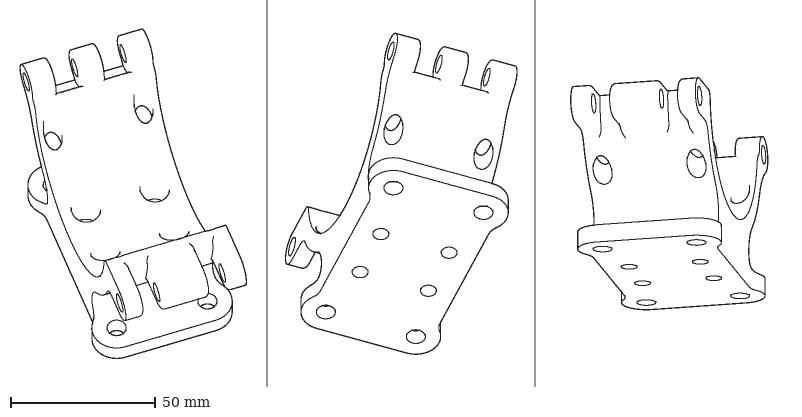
import cadquery as cq
import math

overall_length = 107.9
body_width = 44.5

cradle_height = 54.3
cradle_radius = 35.2
arm_thickness = 6.6

lug_radius = 6.4
left_pin_x = -44.4
right_pin_z = 47.3
left_pin_hole_diameter = 6.4
right_pin_hole_diameter = 6.6

neck_upper_radius = 13.0
neck_lower_radius = 6.4
left_lug_under_blend = 20.0
right_lug_under_blend = 5.0
right_lip_radius = 2.7
left_lip_radius = 5.3
left_lip_start_height = 48.6
left_lug_inner_blend = 2.0

left_slot_width = 9.1
left_slot_pitch = 17.8
left_slot_radius = 7.0
left_slot_edge_radius = 0.6
left_slot_floor_edge_radius = 0.4

right_slot_width = 6.9
right_slot_pitch = 24.2
right_slot_edge_radius = 1.4
right_slot_floor_edge_radius = 2.8

foot_thickness = 6.3
foot_corner_radius = 8.6
foot_web_blend = 6.5
foot_hole_spacing_x = 65.1
foot_hole_spacing_y = 33.5
foot_hole_diameter = 6.6
access_hole_rim_radius = 1.3

screw_spacing_x = 20.0
screw_spacing_y = 25.4
screw_hole_diameter = 5.5
counterbore_diameter = 10.1
counterbore_rim_radius = 1.1
counterbore_floor = foot_thickness

arm_radius = cradle_radius + arm_thickness
cradle_axis = (0.0, cradle_height)
left_pin = (left_pin_x, cradle_height)
right_pin = (left_pin_x + overall_length - 2 * lug_radius, right_pin_z)
lug_top = right_pin_z + lug_radius
lug_underside = right_pin_z - lug_radius
foot_hole_x = foot_hole_spacing_x / 2
foot_hole_y = foot_hole_spacing_y / 2
tolerance = 0.01


def toward(start, end, distance):
    """Point at a distance from start, in the direction of end."""
    span = math.dist(start, end)
    return tuple(s + (e - s) * distance / span for s, e in zip(start, end))


def arc_middle(center, radius, start, end):
    """Middle of the shorter arc from start to end."""
    chord_middle = tuple((s + e) / 2 for s, e in zip(start, end))
    return toward(center, chord_middle, radius)


def circle_crossing(center_a, radius_a, center_b, radius_b):
    """Crossing of two circles that lies to the right of the way from a to b."""
    span = math.dist(center_a, center_b)
    along = (radius_a**2 - radius_b**2 + span**2) / (2 * span)
    aside = math.sqrt(radius_a**2 - along**2)
    ux = (center_b[0] - center_a[0]) / span
    uz = (center_b[1] - center_a[1]) / span
    return (center_a[0] + along * ux + aside * uz, center_a[1] + along * uz - aside * ux)


def mirrored(point):
    return (-point[0], point[1])


neck_height = foot_thickness + neck_lower_radius
neck_drop = cradle_height - neck_height
neck_upper_x = math.sqrt((arm_radius + neck_upper_radius) ** 2 - neck_drop**2)
neck_upper_center = (neck_upper_x, neck_height)
neck_waist = (neck_upper_x - neck_upper_radius, neck_height)
neck_lower_center = (neck_waist[0] + neck_lower_radius, neck_height)
neck_foot = (neck_lower_center[0], foot_thickness)
neck_top = toward(neck_upper_center, cradle_axis, neck_upper_radius)
foot_end = foot_hole_x + foot_corner_radius

right_blend_z = lug_underside - right_lug_under_blend
right_blend_reach = arm_radius + right_lug_under_blend
right_blend_x = math.sqrt(right_blend_reach**2 - (cradle_height - right_blend_z) ** 2)
right_blend_center = (right_blend_x, right_blend_z)
right_blend_start = toward(right_blend_center, cradle_axis, right_lug_under_blend)
right_blend_end = (right_blend_x, lug_underside)
right_lug_tip = (right_pin[0] + lug_radius, right_pin_z)
right_lip_z = lug_top - right_lip_radius
right_lip_reach = cradle_radius + right_lip_radius
right_lip_x = math.sqrt(right_lip_reach**2 - (cradle_height - right_lip_z) ** 2)
right_lip_center = (right_lip_x, right_lip_z)
right_lip_start = (right_lip_x, lug_top)
right_lip_end = toward(right_lip_center, cradle_axis, right_lip_radius)

left_lip_drop = cradle_height - left_lip_start_height
left_lip_start = (-math.sqrt(cradle_radius**2 - left_lip_drop**2), left_lip_start_height)
left_lip_center = toward(cradle_axis, left_lip_start, cradle_radius + left_lip_radius)
inner_blend_center = circle_crossing(
    left_lip_center, left_lip_radius + left_lug_inner_blend, left_pin, lug_radius + left_lug_inner_blend
)
left_lip_end = toward(left_lip_center, inner_blend_center, left_lip_radius)
inner_blend_end = toward(left_pin, inner_blend_center, lug_radius)
under_blend_center = circle_crossing(
    left_pin, lug_radius + left_lug_under_blend, cradle_axis, arm_radius + left_lug_under_blend
)
under_blend_start = toward(left_pin, under_blend_center, lug_radius)
under_blend_end = toward(cradle_axis, under_blend_center, arm_radius)
left_lug_far_side = toward(left_pin, (left_pin[0] - 1.1, left_pin[1] + 1.1), lug_radius)


def draw_arc(sketch, center, radius, start, end):
    return sketch.threePointArc(arc_middle(center, radius, start, end), end)


def side_outline():
    o = cq.Workplane("XZ").moveTo(-foot_end, 0).lineTo(foot_end, 0)
    o = o.lineTo(foot_end, foot_thickness).lineTo(*neck_foot)
    o = draw_arc(o, neck_lower_center, neck_lower_radius, neck_foot, neck_waist)
    o = draw_arc(o, neck_upper_center, neck_upper_radius, neck_waist, neck_top)
    o = draw_arc(o, cradle_axis, arm_radius, neck_top, right_blend_start)
    o = draw_arc(o, right_blend_center, right_lug_under_blend, right_blend_start, right_blend_end)
    o = o.lineTo(right_pin[0], lug_underside)
    o = o.threePointArc(right_lug_tip, (right_pin[0], lug_top))
    o = o.lineTo(*right_lip_start)
    o = draw_arc(o, right_lip_center, right_lip_radius, right_lip_start, right_lip_end)
    o = o.threePointArc((0, cradle_height - cradle_radius), left_lip_start)
    o = draw_arc(o, left_lip_center, left_lip_radius, left_lip_start, left_lip_end)
    o = draw_arc(o, inner_blend_center, left_lug_inner_blend, left_lip_end, inner_blend_end)
    o = o.threePointArc(left_lug_far_side, under_blend_start)
    o = draw_arc(o, under_blend_center, left_lug_under_blend, under_blend_start, under_blend_end)
    o = draw_arc(o, cradle_axis, arm_radius, under_blend_end, mirrored(neck_top))
    o = draw_arc(o, mirrored(neck_upper_center), neck_upper_radius, mirrored(neck_top), mirrored(neck_waist))
    o = draw_arc(o, mirrored(neck_lower_center), neck_lower_radius, mirrored(neck_waist), mirrored(neck_foot))
    return o.lineTo(-foot_end, foot_thickness).close()


def bar(width):
    """Side outline drawn out along Y, centred on the XZ plane."""
    return side_outline().extrude(width / 2, both=True)


def foot_plan(height):
    """Rounded feet joined to the body by concave blends, seen from above."""
    half_body = body_width / 2
    blend_y = half_body + foot_web_blend
    reach = foot_corner_radius + foot_web_blend
    blend_x = foot_hole_x - math.sqrt(reach**2 - (blend_y - foot_hole_y) ** 2)
    corner = (foot_hole_x, foot_hole_y)
    blend = (blend_x, blend_y)
    web_end = (blend_x, half_body)
    web_start = toward(blend, corner, foot_web_blend)
    diagonal = (foot_hole_x + 1.1, foot_hole_y + 1.1)
    tip = (foot_hole_x, foot_hole_y + foot_corner_radius)
    plan = cq.Workplane("XY").moveTo(0, 0).lineTo(0, half_body).lineTo(*web_end)
    plan = plan.threePointArc(arc_middle(blend, foot_web_blend, web_end, web_start), web_start)
    plan = plan.threePointArc(arc_middle(corner, foot_corner_radius, web_start, tip), tip)
    plan = plan.threePointArc(toward(corner, diagonal, foot_corner_radius), (foot_end, foot_hole_y))
    plan = plan.lineTo(foot_end, 0).close()
    quarter = plan.extrude(height)
    half = quarter.union(quarter.mirror("XZ"))
    return half.union(half.mirror("YZ"))


def cylinder_y(center, radius, y_middle, length):
    plane = cq.Workplane("XZ", origin=(0, y_middle, 0))
    return plane.center(*center).circle(radius).extrude(length / 2, both=True)


def build_body():
    """Saddle with its arms and lugs, standing on the two feet."""
    feet = bar(body_width + 2 * foot_corner_radius).intersect(foot_plan(neck_height))
    below_neck = cq.Workplane("XY").box(
        overall_length, body_width, neck_height, centered=(True, True, False)
    )
    return bar(body_width).cut(below_neck).union(feet)


def edges_where(solid, test):
    return solid.newObject([edge for edge in solid.edges().vals() if test(edge)])


def runs_along_y(edge, length):
    """True for a straight edge of the given length, parallel to Y."""
    box = edge.BoundingBox()
    return abs(box.ylen - length) < tolerance and box.xlen + box.zlen < tolerance


def on_slot_side(edge, pitch, width):
    """True for an edge lying in a side face of one of a pair of slots."""
    box = edge.BoundingBox()
    offset = abs(abs(edge.Center().y) - pitch / 2)
    return box.ylen < tolerance and abs(offset - width / 2) < tolerance


def distance_to_axis(edge, axis):
    """Distance from the middle of an edge to an axis along Y."""
    middle = edge.positionAt(0.5)
    return math.dist((middle.x, middle.z), axis)


def cut_slots(solid, block, arm, pitch, width, edge_radius, is_outer_edge):
    """Two slots through a block, sparing the arm; the outer edges of the lugs left are rounded."""

    def is_lug_edge(edge):
        return on_slot_side(edge, pitch, width) and is_outer_edge(edge)

    slots = cq.Workplane("XY").pushPoints([(0, pitch / 2), (0, -pitch / 2)])
    slots = slots.rect(2 * overall_length, width).extrude(overall_length)
    lugs = edges_where(block.cut(slots), is_lug_edge).fillet(edge_radius)
    return solid.cut(block.cut(lugs).cut(arm))


def cut_left_slots(solid):
    """Slots with a round floor about the pin."""
    block_radius = left_slot_radius + 2 * left_slot_floor_edge_radius

    def is_outer_edge(edge):
        return distance_to_axis(edge, left_pin) < block_radius - tolerance

    def is_floor_edge(edge):
        return runs_along_y(edge, body_width) and (
            abs(distance_to_axis(edge, left_pin) - left_slot_radius) < tolerance
        )

    block = solid.intersect(cylinder_y(left_pin, block_radius, 0, body_width))
    arm = solid.cut(cylinder_y(left_pin, left_slot_radius, 0, body_width))
    arm = edges_where(arm, is_floor_edge).fillet(left_slot_floor_edge_radius)
    return cut_slots(
        solid, block, arm, left_slot_pitch, left_slot_width, left_slot_edge_radius, is_outer_edge
    )


def cut_right_slots(solid):
    """Slots that reach in to the round back of the arm, whose top edge is rounded."""
    inner_x = right_lip_x

    def is_outer_edge(edge):
        middle = edge.positionAt(0.5)
        return middle.x > right_blend_x and middle.z > lug_underside - tolerance

    outline = cq.Workplane("XZ").moveTo(inner_x, lug_top).lineTo(right_pin[0], lug_top)
    outline = outline.threePointArc(right_lug_tip, (right_pin[0], lug_underside))
    outline = outline.lineTo(*right_blend_end)
    outline = draw_arc(
        outline, right_blend_center, right_lug_under_blend, right_blend_end, right_blend_start
    )
    block = outline.lineTo(inner_x, right_blend_start[1]).close().extrude(body_width / 2, both=True)
    arm = cylinder_y(cradle_axis, arm_radius, 0, body_width).intersect(
        cq.Workplane("XY").box(overall_length, body_width, lug_top, centered=(True, True, False))
    )
    arm = arm.faces(">Z").edges("|Y").fillet(right_slot_floor_edge_radius)
    return cut_slots(
        solid, block, arm, right_slot_pitch, right_slot_width, right_slot_edge_radius, is_outer_edge
    )


def grid(spacing_x, spacing_y):
    """Four points around the origin."""
    return [(sx * spacing_x / 2, sy * spacing_y / 2) for sx in (-1, 1) for sy in (-1, 1)]


def drill(solid, points, diameter, floor):
    """Upright holes, open at the top, down to the floor height."""
    tools = cq.Workplane("XY").workplane(offset=floor).pushPoints(points)
    return solid.cut(tools.circle(diameter / 2).extrude(overall_length))


def round_rims(solid, points, diameter, radius):
    """Round the edges where upright holes break out of the inner side of the saddle and its lips."""
    middle_of_wall = cradle_radius + arm_thickness / 2

    def is_rim(edge):
        spots = edge.positions([0, 0.25, 0.5, 0.75, 1])
        inside = all(math.dist((p.x, p.z), cradle_axis) < middle_of_wall for p in spots)
        return inside and any(
            all(abs(math.dist((p.x, p.y), point) - diameter / 2) < tolerance for p in spots)
            for point in points
        )

    return edges_where(solid, is_rim).fillet(radius)


def drill_foot_holes(solid):
    """Foot holes that carry on up through the arms to give access from above."""
    points = grid(foot_hole_spacing_x, foot_hole_spacing_y)
    solid = drill(solid, points, foot_hole_diameter, 0)
    return round_rims(solid, points, foot_hole_diameter, access_hole_rim_radius)


def drill_screw_holes(solid):
    points = grid(screw_spacing_x, screw_spacing_y)
    solid = drill(solid, points, counterbore_diameter, counterbore_floor)
    solid = round_rims(solid, points, counterbore_diameter, counterbore_rim_radius)
    return drill(solid, points, screw_hole_diameter, 0)


def drill_pin_holes(solid):
    solid = solid.cut(cylinder_y(left_pin, left_pin_hole_diameter / 2, 0, body_width))
    return solid.cut(cylinder_y(right_pin, right_pin_hole_diameter / 2, 0, body_width))


part = build_body()
part = cut_left_slots(part)
part = cut_right_slots(part)
part = drill_foot_holes(part)
part = drill_screw_holes(part)
result = drill_pin_holes(part)